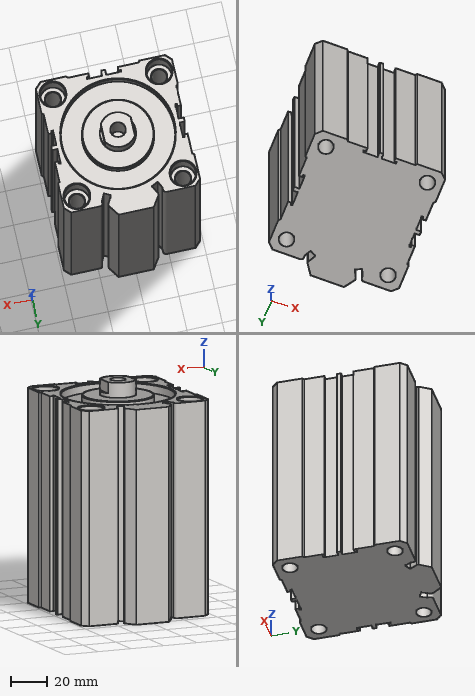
import cadquery as cq

body_width = 77.0
body_height = 121.0
half_width = body_width / 2
corner_chamfer = 3.4

panel_depth = 1.0
panel_half_length = 19.8
slot_depth = 3.0
slot_mouth_half = 8.3
slot_floor_half = 9.7
slot_undercut_height = 1.0
rib_half_thickness = 1.2
rib_chamfer = 0.3

rail_top_y = 45.5
rail_top_half = 9.9
rail_shoulder_half = 14.1
rail_shoulder_y = 39.3
rail_shoulder_height = 1.2
rail_neck_half = 13.4
rail_neck_y = 37.0
rail_root_half = 11.6
rail_root_y = 33.6
groove_floor_outer_x = 15.2
groove_floor_outer_y = 31.7
groove_wall_x = 17.1
groove_wall_y = 35.5
groove_lip_radius = 1.8

hole_pitch = 60.0
hole_diameter = 8.6
hole_chamfer = 0.3
counterbore_diameter = 14.0
counterbore_depth = 10.5
counterbore_chamfer = 0.5

recess_diameter = 63.0
recess_depth = 5.0
recess_chamfer = 0.5
collar_diameter = 40.0
collar_height = 4.5
collar_chamfer = 0.5

rod_diameter = 20.0
rod_projection = 8.0
rod_insertion = 15.0
rod_flat_width = 17.0
rod_flat_length = 6.3
rod_hole_diameter = 8.5
rod_hole_depth = 18.0


def make_profile():
    """Extruded housing outline, without the side panels and slots."""
    corner = half_width - corner_chamfer
    lip_x = groove_wall_x + groove_lip_radius
    lip_y = half_width - groove_lip_radius
    arc_offset = groove_lip_radius * (1 - 0.5 ** 0.5)
    half = (
        cq.Workplane("XY")
        .moveTo(0, -half_width)
        .lineTo(corner, -half_width)
        .lineTo(half_width, -corner)
        .lineTo(half_width, corner)
        .lineTo(corner, half_width)
        .lineTo(lip_x, half_width)
        .threePointArc(
            (groove_wall_x + arc_offset, half_width - arc_offset),
            (groove_wall_x, lip_y),
        )
        .lineTo(groove_wall_x, groove_wall_y)
        .lineTo(groove_floor_outer_x, groove_floor_outer_y)
        .lineTo(rail_root_half, rail_root_y)
        .lineTo(rail_neck_half, rail_neck_y)
        .lineTo(rail_shoulder_half, rail_shoulder_y - rail_shoulder_height)
        .lineTo(rail_shoulder_half, rail_shoulder_y)
        .lineTo(rail_top_half, rail_top_y)
        .lineTo(0, rail_top_y)
        .close()
        .extrude(body_height)
    )
    return half.union(half.mirror("YZ")).clean()


def make_side_cutter():
    """Panel and ribbed T-slot cut from the -Y side over the full height."""
    face = -half_width
    panel = face + panel_depth
    floor = panel + slot_depth
    undercut = floor - slot_undercut_height
    panel_outer_half = panel_half_length + panel_depth
    half = (
        cq.Workplane("XY")
        .moveTo(0, face)
        .lineTo(panel_outer_half, face)
        .lineTo(panel_half_length, panel)
        .lineTo(slot_mouth_half, panel)
        .lineTo(slot_mouth_half, undercut)
        .lineTo(slot_floor_half, undercut)
        .lineTo(slot_floor_half, floor)
        .lineTo(rib_half_thickness, floor)
        .lineTo(rib_half_thickness, panel + rib_chamfer)
        .lineTo(rib_half_thickness - rib_chamfer, panel)
        .lineTo(0, panel)
        .close()
        .extrude(body_height)
    )
    return half.union(half.mirror("YZ"))


def make_flared_cutter(diameter, depth, chamfer, top=body_height):
    """Plug below the given top height whose mouth flares outward by the chamfer."""
    radius = diameter / 2
    return (
        cq.Workplane("XZ")
        .moveTo(0, top)
        .lineTo(radius + chamfer, top)
        .lineTo(radius, top - chamfer)
        .lineTo(radius, top - depth)
        .lineTo(0, top - depth)
        .close()
        .revolve(360, (0, 0, 0), (0, 1, 0))
    )


def make_mounting_hole_cutter():
    """Through hole with a counterbore open at the top face."""
    floor_height = body_height - counterbore_depth
    through_hole = make_flared_cutter(hole_diameter, floor_height, hole_chamfer, floor_height)
    counterbore = make_flared_cutter(counterbore_diameter, counterbore_depth, counterbore_chamfer)
    return through_hole.union(counterbore)


def make_collar():
    """Chamfered ring that stands on the recess floor, slightly below the top face."""
    return (
        cq.Workplane("XY", origin=(0, 0, body_height - recess_depth))
        .circle(collar_diameter / 2)
        .extrude(collar_height)
        .faces(">Z")
        .chamfer(collar_chamfer)
    )


def make_rod_blank(length):
    """Plain cylinder rising from the bottom of the rod socket."""
    return (
        cq.Workplane("XY", origin=(0, 0, body_height - rod_insertion))
        .circle(rod_diameter / 2)
        .extrude(length)
    )


def make_housing():
    body = make_profile()

    side_cutter = make_side_cutter()
    for angle in (0, 90, -90):
        body = body.cut(side_cutter.rotate((0, 0, 0), (0, 0, 1), angle))

    hole_cutter = make_mounting_hole_cutter()
    for x_side in (-1, 1):
        for y_side in (-1, 1):
            hole_place = (x_side * hole_pitch / 2, y_side * hole_pitch / 2, 0)
            body = body.cut(hole_cutter.translate(hole_place))

    body = body.cut(make_flared_cutter(recess_diameter, recess_depth, recess_chamfer))
    body = body.union(make_collar())
    return body.cut(make_rod_blank(rod_insertion))


def make_rod():
    rod = make_rod_blank(rod_insertion + rod_projection)
    rod_top = body_height + rod_projection

    flat_zone = cq.Workplane("XY", origin=(0, 0, rod_top - rod_flat_length))
    flat_cutter = (
        flat_zone.rect(2 * rod_diameter, 2 * rod_diameter)
        .extrude(rod_flat_length)
        .cut(flat_zone.rect(rod_flat_width, 2 * rod_diameter).extrude(rod_flat_length))
    )
    rod = rod.cut(flat_cutter)

    end_hole = (
        cq.Workplane("XY", origin=(0, 0, rod_top - rod_hole_depth))
        .circle(rod_hole_diameter / 2)
        .extrude(rod_hole_depth)
    )
    return rod.cut(end_hole)


housing = make_housing()
rod = make_rod()

result = cq.Compound.makeCompound([housing.solids().val(), rod.solids().val()])